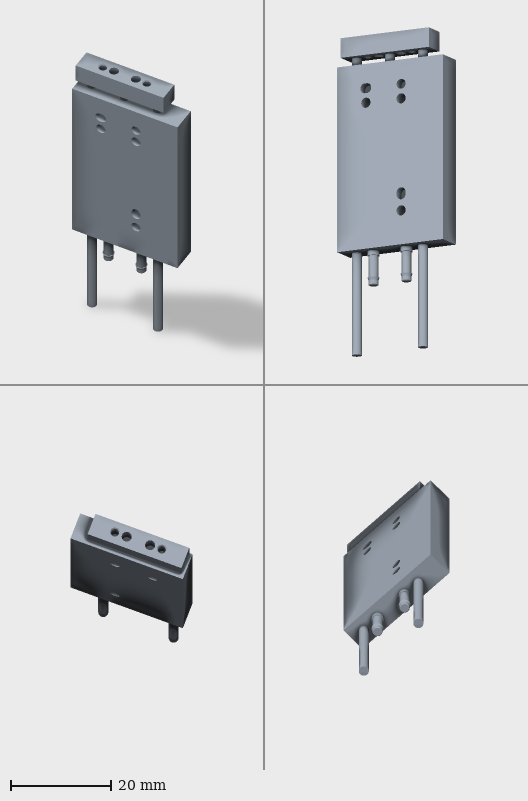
import cadquery as cq

TOTAL_HEIGHT = 65.0
HOUSING_WIDTH = 24.0
HOUSING_DEPTH = 5.5

PLATE_WIDTH = 20.0
PLATE_DEPTH = 4.5
PLATE_HEIGHT = 4.0
PLATE_INSET = 0.5
PLATE_GAP = 2.0
ROD_DIAMETER = 2.0
GUIDE_SPACING = 15.0
GUIDE_PROJECTION = 21.0

DOWEL_HOLE_DIAMETER = 2.0
DOWEL_HOLE_SPACING = 5.0
SCREW_HOLE_DIAMETER = 1.55
SCREW_COUNTERSINK_DIAMETER = 2.0
COUNTERSINK_ANGLE = 90
SCREW_HOLE_SPACING = 10.0

MOUNT_SPACING = 8.0
MOUNT_DIAMETER = 2.1
UPPER_MOUNT_DROP = 8.0
LOWER_MOUNT_DROP = 31.0
PIN_DIAMETER = 2.0
PIN_SLOT_LENGTH = 2.5
PIN_DEPTH = 2.0
UPPER_PIN_DROP = 5.0
LOWER_PIN_DROP = 27.5

FITTING_SPACING = 7.5
COLLAR_DIAMETER = 2.4
COLLAR_LENGTH = 1.0
FITTING_DIAMETER = 2.0
FITTING_LENGTH = 7.0
BARB_DIAMETER = 2.4
BARB_DISTANCE = 5.45
BARB_HEIGHT = 0.6
FITTING_CHAMFER = 0.1

HOUSING_HEIGHT = TOTAL_HEIGHT - PLATE_HEIGHT - PLATE_GAP - GUIDE_PROJECTION
PLATE_BOTTOM = HOUSING_HEIGHT + PLATE_GAP
AXIS_X = PLATE_INSET + PLATE_WIDTH / 2
PISTON_END = HOUSING_HEIGHT / 2


def pair(spacing):
    """X positions of two features placed evenly about the common centre."""
    return (AXIS_X - spacing / 2, AXIS_X + spacing / 2)


def cylinder(x, bottom, top, diameter):
    """Vertical cylinder on the middle plane."""
    return cq.Workplane("XY", origin=(x, 0, bottom)).circle(diameter / 2).extrude(top - bottom)


def block(left, bottom, width, depth, height):
    """Rectangular block, centred in Y."""
    return cq.Workplane("XY", origin=(left, 0, bottom)).box(width, depth, height, centered=(False, True, False))


def front_plane(x, drop):
    """Workplane on the front face, pointing outward, at a distance below the housing top."""
    return cq.Workplane("XZ", origin=(x, -HOUSING_DEPTH / 2, HOUSING_HEIGHT - drop))


def mounting_hole(x, drop):
    return front_plane(x, drop).circle(MOUNT_DIAMETER / 2).extrude(-HOUSING_DEPTH)


def pin_hole(x, drop):
    return front_plane(x, drop).circle(PIN_DIAMETER / 2).extrude(-PIN_DEPTH)


def pin_slot(x, drop, angle):
    return front_plane(x, drop).slot2D(PIN_SLOT_LENGTH, PIN_DIAMETER, angle).extrude(-PIN_DEPTH)


def hose_fitting(x):
    """Stub with a collar against the housing and a tapered barb near its chamfered tip."""
    stem = cylinder(x, -FITTING_LENGTH, 0, FITTING_DIAMETER).faces("<Z").chamfer(FITTING_CHAMFER)
    collar = cylinder(x, -COLLAR_LENGTH, 0, COLLAR_DIAMETER)
    barb = (
        cq.Workplane("XY", origin=(x, 0, -BARB_DISTANCE))
        .circle(BARB_DIAMETER / 2)
        .workplane(offset=-BARB_HEIGHT)
        .circle(FITTING_DIAMETER / 2)
        .loft()
    )
    return stem.union(collar).union(barb)


def make_housing():
    housing = block(0, 0, HOUSING_WIDTH, HOUSING_DEPTH, HOUSING_HEIGHT)

    for x in pair(GUIDE_SPACING):
        housing = housing.cut(cylinder(x, 0, HOUSING_HEIGHT, ROD_DIAMETER))
    housing = housing.cut(cylinder(AXIS_X, PISTON_END, HOUSING_HEIGHT, ROD_DIAMETER))

    left, right = pair(MOUNT_SPACING)
    for x, drop in ((left, UPPER_MOUNT_DROP), (right, UPPER_MOUNT_DROP), (right, LOWER_MOUNT_DROP)):
        housing = housing.cut(mounting_hole(x, drop))
    housing = housing.cut(pin_hole(right, UPPER_PIN_DROP))
    housing = housing.cut(pin_slot(left, UPPER_PIN_DROP, 0))
    housing = housing.cut(pin_slot(right, LOWER_PIN_DROP, 90))

    for x in pair(FITTING_SPACING):
        housing = housing.union(hose_fitting(x))
    return housing


def make_slide():
    """Tool plate in one piece with its guide rods and piston rod."""
    slide = block(PLATE_INSET, PLATE_BOTTOM, PLATE_WIDTH, PLATE_DEPTH, PLATE_HEIGHT)

    plate_top = cq.Workplane("XY", origin=(0, 0, PLATE_BOTTOM + PLATE_HEIGHT))
    dowel_points = [(x, 0) for x in pair(DOWEL_HOLE_SPACING)]
    slide = slide.copyWorkplane(plate_top).pushPoints(dowel_points).hole(DOWEL_HOLE_DIAMETER, PLATE_HEIGHT)
    screw_points = [(x, 0) for x in pair(SCREW_HOLE_SPACING)]
    slide = slide.copyWorkplane(plate_top).pushPoints(screw_points).cskHole(
        SCREW_HOLE_DIAMETER, SCREW_COUNTERSINK_DIAMETER, COUNTERSINK_ANGLE, PLATE_HEIGHT
    )

    for x in pair(GUIDE_SPACING):
        slide = slide.union(cylinder(x, -GUIDE_PROJECTION, PLATE_BOTTOM, ROD_DIAMETER))
    return slide.union(cylinder(AXIS_X, PISTON_END, PLATE_BOTTOM, ROD_DIAMETER))


housing = make_housing()
slide = make_slide()

result = cq.Compound.makeCompound([housing.val(), slide.val()])